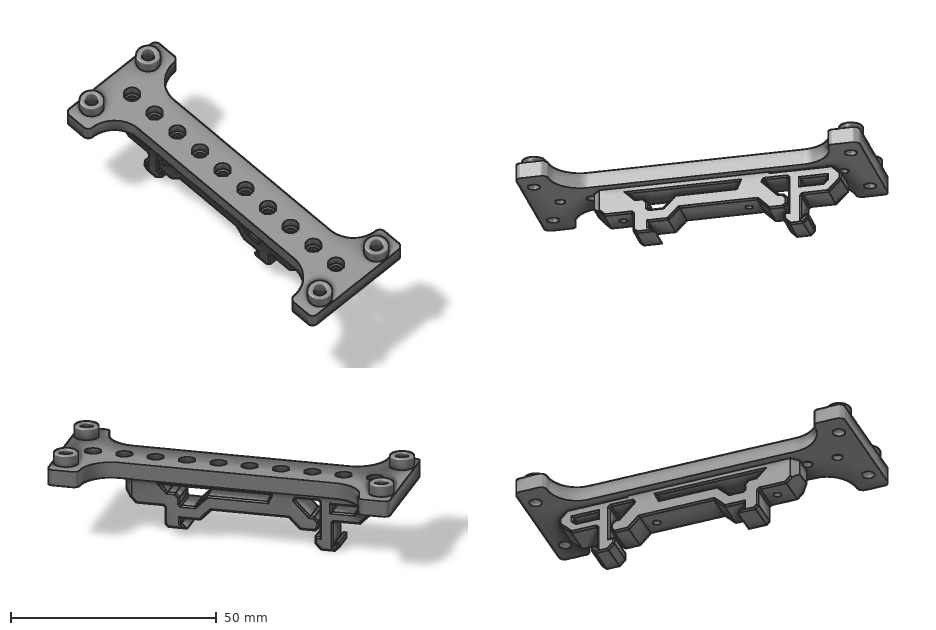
import cadquery as cq
import math

TOLERANCE = 0.001

PLATE_LENGTH = 86.0
PLATE_WIDTH = 30.6
PLATE_THICKNESS = 4.0
BAR_WIDTH = 12.2
BAR_STRAIGHT = 54.2
WAIST_RADIUS = 8.0
CORNER_RADIUS = 1.5
WAIST_CENTER_Y = BAR_WIDTH / 2 + WAIST_RADIUS
CORNER_CENTER_Y = PLATE_WIDTH / 2 - CORNER_RADIUS

BOSS_DIAMETER = 6.0
BOSS_BORE = 3.0
BOSS_HEIGHT = 2.9
BOSS_ROUNDING = 0.5
BOSS_SPACING_X = 79.4
BOSS_SPACING_Y = 19.2

SCREW_COUNT = 10
SCREW_ROW_LENGTH = 70.95
SCREW_PITCH = SCREW_ROW_LENGTH / (SCREW_COUNT - 1)
SCREW_DIAMETER = 2.5
SCREW_HEAD_DIAMETER = 4.0
SCREW_HEAD_DEPTH = 2.5
SCREW_POSITIONS = [(i * SCREW_PITCH - SCREW_ROW_LENGTH / 2, 0) for i in range(SCREW_COUNT)]

CLIP_LEFT = -35.8
CLIP_LENGTH = 62.3
CLIP_DEPTH = 14.6
CLIP_WIDTH = 8.0
CLIP_CHAMFER = 0.4
CLIP_END_CHAMFER = 1.8
PILOT_DIAMETER = 1.9
PILOT_SCREWS = (3, 7)
TOP_BEVEL_LENGTH = 17.9

BELLY = -7.0
FOOT = -9.8
FINGER_TOP = -6.2
SPRING_RIGHT = 13.2
SPRING_HOOK_TIP_TOP = -12.2
FIXED_HOOK_BOTTOM = -12.5
BEAM_TOP = -3.35

CLIP_OUTLINE = [
    (2.1, 0),
    (0, -2.1),
    (0, -3.9),
    (3.1, BELLY),
    (9.5, BELLY),
    (9.9, BELLY - 0.4),
    (9.9, -13.0),
    (9.1, SPRING_HOOK_TIP_TOP),
    (8.3, SPRING_HOOK_TIP_TOP),
    (8.3, -13.5),
    (9.5, -CLIP_DEPTH),
    (12.8, -CLIP_DEPTH),
    (14.4, -13.1),
    (14.4, -11.3),
    (SPRING_RIGHT, -11.3),
    (SPRING_RIGHT, -2.2),
    (13.6, -1.8),
    (19.1, -1.8),
    (19.4, -2.3),
    (15.6, FINGER_TOP),
    (14.5, FINGER_TOP),
    (13.5, -7.2),
    (13.5, -8.95),
    (14.4, FOOT),
    (18.15, FOOT),
    (21.0, BELLY),
    (40.4, BELLY),
    (43.3, FOOT),
    (48.25, FOOT),
    (48.25, -11.1),
    (48.0, -11.1),
    (46.6, FIXED_HOOK_BOTTOM),
    (51.25, FIXED_HOOK_BOTTOM),
    (52.1, -11.6),
    (52.1, BELLY - 0.4),
    (52.55, BELLY),
    (59.3, BELLY),
    (CLIP_LENGTH, -4.0),
    (CLIP_LENGTH, 0),
]

SHORT_WINDOW = [
    (3.6, -2.6),
    (3.6, -3.5),
    (4.6, -4.5),
    (10.15, -4.5),
    (10.15, -2.6),
]

LONG_WINDOW = [
    (25.5, -1.55),
    (26.3, BEAM_TOP),
    (41.5, BEAM_TOP),
    (44.6, -6.45),
    (48.0, -6.45),
    (48.4, -6.0),
    (48.4, -4.4),
    (49.45, BEAM_TOP),
    (51.4, BEAM_TOP),
    (53.2, -1.55),
]


def make_waist():
    """Cutter for the +Y waist: at each end a rounded wing corner runs smoothly into a concave arc."""
    corner_x = BAR_STRAIGHT / 2 + math.sqrt(
        (CORNER_RADIUS + WAIST_RADIUS) ** 2 - (WAIST_CENTER_Y - CORNER_CENTER_Y) ** 2
    )
    share = CORNER_RADIUS / (CORNER_RADIUS + WAIST_RADIUS)
    touch_x = corner_x + share * (BAR_STRAIGHT / 2 - corner_x)
    touch_y = CORNER_CENTER_Y + share * (WAIST_CENTER_Y - CORNER_CENTER_Y)
    return (
        cq.Workplane("XY")
        .moveTo(-corner_x, PLATE_WIDTH / 2)
        .radiusArc((-touch_x, touch_y), CORNER_RADIUS)
        .radiusArc((-BAR_STRAIGHT / 2, BAR_WIDTH / 2), -WAIST_RADIUS)
        .lineTo(BAR_STRAIGHT / 2, BAR_WIDTH / 2)
        .radiusArc((touch_x, touch_y), -WAIST_RADIUS)
        .radiusArc((corner_x, PLATE_WIDTH / 2), CORNER_RADIUS)
        .close()
        .extrude(PLATE_THICKNESS)
    )


def make_plate_blank():
    """H-shaped plate: two wings joined by a narrow bar, with rounded corners."""
    blank = cq.Workplane("XY").box(PLATE_LENGTH, PLATE_WIDTH, PLATE_THICKNESS, centered=(True, True, False))
    blank = blank.edges("|Z").fillet(CORNER_RADIUS)
    waist = make_waist()
    return blank.cut(waist).cut(waist.mirror("XZ"))


def make_boss():
    """Tubular boss whose rim is rounded on the outside and inside; its base is at Z = 0."""
    return (
        cq.Workplane("XY")
        .circle(BOSS_DIAMETER / 2)
        .circle(BOSS_BORE / 2)
        .extrude(BOSS_HEIGHT)
        .faces(">Z")
        .edges()
        .fillet(BOSS_ROUNDING)
    )


def make_plate():
    top = make_plate_blank().faces(">Z").workplane(origin=(0, 0, PLATE_THICKNESS))
    plate = top.pushPoints(SCREW_POSITIONS).cboreHole(SCREW_DIAMETER, SCREW_HEAD_DIAMETER, SCREW_HEAD_DEPTH)
    for x in (-BOSS_SPACING_X / 2, BOSS_SPACING_X / 2):
        for y in (-BOSS_SPACING_Y / 2, BOSS_SPACING_Y / 2):
            bore = cq.Workplane("XY").center(x, y).circle(BOSS_BORE / 2).extrude(PLATE_THICKNESS)
            plate = plate.cut(bore).union(make_boss().translate((x, y, PLATE_THICKNESS)))
    return plate


def extrude_across_clip(outline):
    """Prism of a clip outline, across the clip's full width and centred on Y = 0."""
    placed = [(CLIP_LEFT + along, height) for along, height in outline]
    return cq.Workplane("XZ").polyline(placed).close().extrude(CLIP_WIDTH / 2, both=True)


def chamfer_clip_sides(clip):
    """Bevel the rims of both side faces, but not along the top or the right end."""
    clip_right = CLIP_LEFT + CLIP_LENGTH

    def is_beveled(edge):
        center = edge.Center()
        on_side_face = abs(abs(center.y) - CLIP_WIDTH / 2) < TOLERANCE
        under_plate = abs(center.z) < TOLERANCE
        at_right_end = abs(center.x - clip_right) < TOLERANCE
        return on_side_face and not under_plate and not at_right_end

    return clip.edges().filter(is_beveled).chamfer(CLIP_CHAMFER)


def cut_end_corners(clip):
    """Cut the two upright corners of the right end at 45 degrees."""
    end = CLIP_LEFT + CLIP_LENGTH
    for side in (-1, 1):
        corner = (
            cq.Workplane("XY")
            .moveTo(end, side * CLIP_WIDTH / 2)
            .lineTo(end - CLIP_END_CHAMFER, side * CLIP_WIDTH / 2)
            .lineTo(end, side * (CLIP_WIDTH / 2 - CLIP_END_CHAMFER))
            .close()
            .extrude(-CLIP_DEPTH)
        )
        clip = clip.cut(corner)
    return clip


def cut_top_bevels(clip):
    """Bevel the two top edges along the spring leg's part of the clip."""
    for side in (-1, 1):
        bevel = (
            cq.Workplane("YZ", origin=(CLIP_LEFT, 0, 0))
            .moveTo(side * CLIP_WIDTH / 2, 0)
            .lineTo(side * (CLIP_WIDTH / 2 - CLIP_CHAMFER), 0)
            .lineTo(side * CLIP_WIDTH / 2, -CLIP_CHAMFER)
            .close()
            .extrude(TOP_BEVEL_LENGTH)
        )
        clip = clip.cut(bevel)
    return clip


def make_clip():
    clip = extrude_across_clip(CLIP_OUTLINE)
    for window in (SHORT_WINDOW, LONG_WINDOW):
        clip = clip.cut(extrude_across_clip(window))
    clip = chamfer_clip_sides(clip)
    clip = cut_top_bevels(clip)
    clip = cut_end_corners(clip)
    pilot_sites = [SCREW_POSITIONS[i] for i in PILOT_SCREWS]
    pilots = cq.Workplane("XY").pushPoints(pilot_sites).circle(PILOT_DIAMETER / 2).extrude(-CLIP_DEPTH)
    return clip.cut(pilots)


plate = make_plate()
clip = make_clip()
result = cq.Compound.makeCompound([*plate.solids().vals(), *clip.solids().vals()])